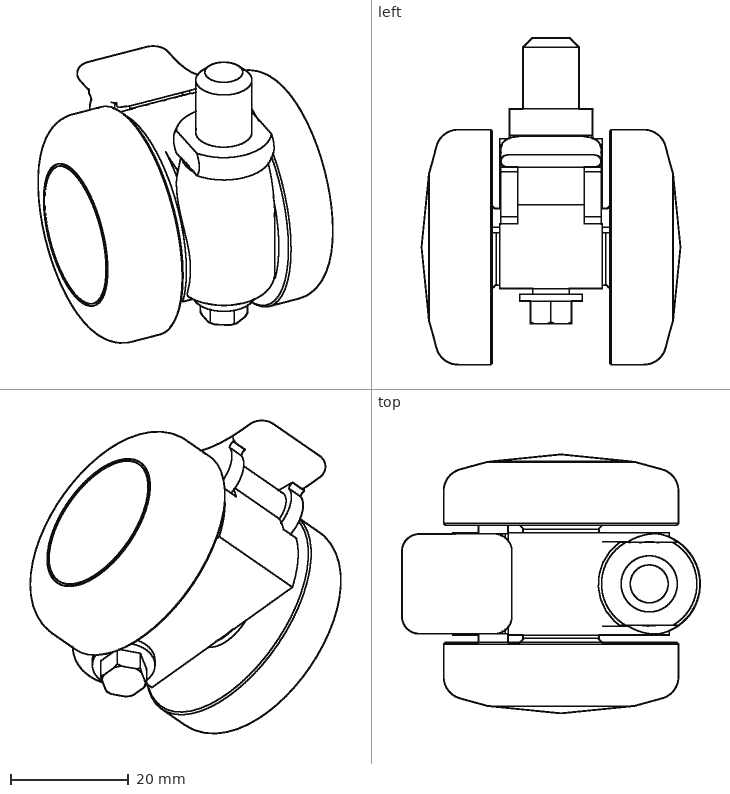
import cadquery as cq
import math


WHEEL_RADIUS = 20.0
WHEEL_INNER_Y = 9.95
WHEEL_RIM_Y = 15.75
WHEEL_SHOULDER_Y = 19.5
WHEEL_SHOULDER_RADIUS = 17.1
CAP_RADIUS = 12.45
CAP_EDGE_Y = 20.75
OVERALL_WIDTH = 44.0
CAP_APEX_Y = OVERALL_WIDTH / 2
CAP_GROOVE_WIDTH = 0.4
CAP_GROOVE_DEPTH = 0.1
RIM_CHAMFER = 0.35
WHEEL_HUB_RADIUS = 7.0
WHEEL_HUB_TIP_RADIUS = 6.3
HUB_JOINT_Y = 9.25

BODY_RADIUS = 18.4
BODY_HALF_WIDTH = 8.7
BODY_BOTTOM_Z = -7.05
BOSS_RADIUS = 6.5
BARREL_X = 15.0
BARREL_RADIUS = 8.65
BARREL_TOP_RADIUS = 7.15
BARREL_BOTTOM_Z = -6.7
BARREL_TAPER_Z = 6.1
BARREL_TOP_Z = 18.65
BARREL_BOTTOM_FILLET = 1.9
COLLAR_FILLET = 2.8
COLLAR_HALF_WIDTH = 7.15
COLLAR_END_X = 11.65

PIVOT_X = -14.65
PIVOT_Z = 10.4
LEG_RADIUS = 5.2
LEG_INNER_Y = 5.65
LEVER_HALF_WIDTH = 8.5
LEVER_HUB_RADIUS = 3.95
LEG_FRONT_X = -19.25
LEG_REAR_X = -10.0
LEG_FRONT_FILLET = 0.9
SLOT_FLOOR_Z = 3.95
PLATE_FRONT_X = -27.05
PLATE_REAR_X = -8.3
PLATE_TOP_Z = 15.65
PLATE_THICKNESS = 2.05
PLATE_BEND_X = -22.2
PLATE_BEND_RADIUS = 26.65
PLATE_CORNER_RADIUS = 3.0
PLATE_TOP_FILLET = 1.05
PLATE_BOTTOM_FILLET = 0.9
SHOE_FRONT_X = -14.05
SHOE_REAR_X = -9.0
SHOE_FRONT_BOTTOM_Z = 3.4
SHOE_REAR_BOTTOM_Z = 2.45
SHOE_TOP_Z = 6.6

STEM_RADIUS = 4.8
STEM_TOP_Z = 35.5
STEM_CHAMFER = 1.55
COLLAR_NUT_TOP_Z = 23.5
COLLAR_NUT_BOTTOM_Z = 19.0
COLLAR_NUT_RADIUS = 8.65
COLLAR_NUT_END_RADIUS = 8.1
COLLAR_NUT_HALF_FLATS = 7.05
NECK_RADIUS = 6.95
BOLT_RADIUS = 3.1
WASHER_RADIUS = 5.35
WASHER_TOP_Z = -8.0
WASHER_BOTTOM_Z = -9.15
HEX_BOTTOM_Z = -13.05
HEX_ACROSS_FLATS = 7.0
HEX_CHAMFER = 0.35


def cylinder_y(x, z, radius, y_start, y_end):
    """Cylinder along Y between two Y positions."""
    return (
        cq.Workplane("XZ", origin=(0, y_start, 0))
        .center(x, z)
        .circle(radius)
        .extrude(y_start - y_end)
    )


def cylinder_z(radius, z_bottom, z_top):
    """Cylinder on the swivel axis between two heights."""
    return (
        cq.Workplane("XY", origin=(BARREL_X, 0, z_bottom))
        .circle(radius)
        .extrude(z_top - z_bottom)
    )


def block(x_range, y_range, z_range):
    """Rectangular block given by its limits along each axis."""
    (x0, x1), (y0, y1), (z0, z1) = x_range, y_range, z_range
    return cq.Workplane("XY").box(x1 - x0, y1 - y0, z1 - z0, centered=False).translate((x0, y0, z0))


def make_wheel(side):
    """Wheel turned about the Y axis, with a conical cap inside a thin groove; side 1 is +Y, -1 is -Y."""
    groove_inner_radius = CAP_RADIUS - CAP_GROOVE_WIDTH
    cap_slope = (CAP_APEX_Y - CAP_EDGE_Y) / CAP_RADIUS
    groove_inner_y = CAP_EDGE_Y + cap_slope * CAP_GROOVE_WIDTH
    groove_floor_y = CAP_EDGE_Y - CAP_GROOVE_DEPTH
    profile = (
        cq.Workplane("XY")
        .moveTo(0, HUB_JOINT_Y)
        .lineTo(WHEEL_HUB_TIP_RADIUS, HUB_JOINT_Y)
        .lineTo(WHEEL_HUB_RADIUS, WHEEL_INNER_Y)
        .lineTo(WHEEL_RADIUS - RIM_CHAMFER, WHEEL_INNER_Y)
        .lineTo(WHEEL_RADIUS, WHEEL_INNER_Y + RIM_CHAMFER)
        .lineTo(WHEEL_RADIUS, WHEEL_RIM_Y)
        .tangentArcPoint((WHEEL_SHOULDER_RADIUS, WHEEL_SHOULDER_Y), relative=False)
        .lineTo(CAP_RADIUS, CAP_EDGE_Y)
        .lineTo(CAP_RADIUS, groove_floor_y)
        .lineTo(groove_inner_radius, groove_floor_y)
        .lineTo(groove_inner_radius, groove_inner_y)
        .lineTo(0, CAP_APEX_Y)
        .close()
    )
    wheel = profile.revolve(360, (0, 0, 0), (0, 1, 0))
    return wheel if side > 0 else wheel.mirror("XZ")


def plate_line(depth):
    """Points of the bent plate line a given depth below the upper face.

    Returns the front end, bend start, bend middle and rear end.
    """
    bend_radius = PLATE_BEND_RADIUS + depth
    bend_center_z = PLATE_TOP_Z + PLATE_BEND_RADIUS
    bend_angle = math.asin((PLATE_REAR_X - PLATE_BEND_X) / bend_radius)
    bend_points = [
        (
            PLATE_BEND_X + bend_radius * math.sin(angle),
            bend_center_z - bend_radius * math.cos(angle),
        )
        for angle in (0, bend_angle / 2, bend_angle)
    ]
    return [(PLATE_FRONT_X, PLATE_TOP_Z - depth), *bend_points]


def make_plate():
    """Bent foot plate with rounded corners and edges."""
    top_front, *top_bend = plate_line(0)
    bottom_front, *bottom_bend = plate_line(PLATE_THICKNESS)
    strip = (
        cq.Workplane("XZ")
        .moveTo(*top_front)
        .lineTo(*top_bend[0])
        .threePointArc(*top_bend[1:])
        .lineTo(*bottom_bend[2])
        .threePointArc(*bottom_bend[1::-1])
        .lineTo(*bottom_front)
        .close()
        .extrude(LEVER_HALF_WIDTH, both=True)
    )
    plate = strip.edges("(<X or >X) and |Z").edges("|Z").fillet(PLATE_CORNER_RADIUS)
    plate = plate.faces("<X").edges(">Z").fillet(PLATE_TOP_FILLET)
    return plate.faces("<X").edges("<Z").fillet(PLATE_BOTTOM_FILLET)


def make_shoe(side):
    """Brake shoe between a lever leg and the inner face of its wheel, with a sloping underside."""
    return (
        cq.Workplane("XZ", origin=(0, side * LEVER_HALF_WIDTH, 0))
        .moveTo(SHOE_FRONT_X, SHOE_FRONT_BOTTOM_Z)
        .lineTo(SHOE_FRONT_X, SHOE_TOP_Z)
        .lineTo(SHOE_REAR_X, SHOE_TOP_Z)
        .lineTo(SHOE_REAR_X, SHOE_REAR_BOTTOM_Z)
        .close()
        .extrude(side * (LEVER_HALF_WIDTH - WHEEL_INNER_Y))
    )


def make_lever():
    """Brake lever: plate, two round legs, a hub between them and a brake shoe on each side."""
    under_front, *under_bend = plate_line(PLATE_TOP_FILLET)
    below_plate = (
        cq.Workplane("XZ")
        .moveTo(*under_front)
        .lineTo(*under_bend[0])
        .threePointArc(*under_bend[1:])
        .lineTo(PLATE_REAR_X, 0)
        .lineTo(PLATE_FRONT_X, 0)
        .close()
        .extrude(LEVER_HALF_WIDTH, both=True)
    )
    hub = cylinder_y(PIVOT_X, PIVOT_Z, LEVER_HUB_RADIUS, -LEG_INNER_Y, LEG_INNER_Y)
    lever = make_plate().union(hub.intersect(below_plate))
    for side in (-1, 1):
        y_range = sorted((side * LEG_INNER_Y, side * LEVER_HALF_WIDTH))
        disc = cylinder_y(PIVOT_X, PIVOT_Z, LEG_RADIUS, *y_range)
        column = block((LEG_FRONT_X, LEG_REAR_X), y_range, (PIVOT_Z, STEM_TOP_Z))
        fillet_center_x = LEG_FRONT_X - LEG_FRONT_FILLET
        fillet_center_z = PLATE_TOP_Z - PLATE_THICKNESS - LEG_FRONT_FILLET
        web = block((fillet_center_x, LEG_FRONT_X), y_range, (fillet_center_z, PLATE_TOP_Z)).cut(
            cylinder_y(fillet_center_x, fillet_center_z, LEG_FRONT_FILLET, *y_range)
        )
        leg = disc.union(column).union(web).intersect(below_plate)
        lever = lever.union(leg).union(make_shoe(side))
    return lever


def make_barrel():
    """Upright barrel around the swivel axis, narrowing towards its top."""
    taper_middle_z = (BARREL_TAPER_Z + BARREL_TOP_Z) / 2
    taper_middle_radius = BARREL_RADIUS - (BARREL_RADIUS - BARREL_TOP_RADIUS) / 4
    barrel = (
        cq.Workplane("XZ", origin=(BARREL_X, 0, 0))
        .moveTo(0, BARREL_BOTTOM_Z)
        .lineTo(BARREL_RADIUS, BARREL_BOTTOM_Z)
        .lineTo(BARREL_RADIUS, BARREL_TAPER_Z)
        .threePointArc(
            (taper_middle_radius, taper_middle_z),
            (BARREL_TOP_RADIUS, BARREL_TOP_Z),
        )
        .lineTo(0, BARREL_TOP_Z)
        .close()
        .revolve(360, (0, 0, 0), (0, 1, 0))
    )
    return barrel.faces("<Z").edges().fillet(BARREL_BOTTOM_FILLET)


def make_collar():
    """Concave blend from the round body up to the barrel, cut level with the barrel top."""
    drum = cylinder_y(0, 0, BODY_RADIUS, -BODY_RADIUS, BODY_RADIUS)
    column_top_z = 2 * BARREL_TOP_Z
    column = cylinder_z(BARREL_TOP_RADIUS, 0, column_top_z)
    front = block((0, BARREL_X), (-BODY_RADIUS, BODY_RADIUS), (0, column_top_z))
    blended = drum.union(column).intersect(front)
    joint_x = BARREL_X - BARREL_TOP_RADIUS
    joint_z = math.sqrt(BODY_RADIUS**2 - joint_x**2)
    joint = cq.selectors.NearestToPointSelector((joint_x, 0, joint_z))
    blended = blended.edges(joint).fillet(COLLAR_FILLET)
    limits = block((0, COLLAR_END_X), (-COLLAR_HALF_WIDTH, COLLAR_HALF_WIDTH), (0, BARREL_TOP_Z))
    return blended.intersect(limits)


def make_housing(lever, stem):
    """Housing with axle bosses, slots for the lever legs and recesses that fit lever and stem."""
    body = cylinder_y(0, 0, BODY_RADIUS, -BODY_HALF_WIDTH, BODY_HALF_WIDTH)
    above_bottom = block(
        (-BODY_RADIUS, BODY_RADIUS),
        (-BODY_HALF_WIDTH, BODY_HALF_WIDTH),
        (BODY_BOTTOM_Z, BODY_RADIUS),
    )
    body = body.intersect(above_bottom)
    barrel = make_barrel()
    collar = make_collar().cut(body).cut(barrel)
    housing = body.union(collar).union(barrel)
    housing = housing.union(cylinder_y(0, 0, BOSS_RADIUS, -HUB_JOINT_Y, HUB_JOINT_Y))
    for side in (-1, 1):
        y_range = sorted((side * LEG_INNER_Y, side * BODY_HALF_WIDTH))
        housing = housing.cut(
            block((-BODY_RADIUS, SHOE_REAR_X), y_range, (SLOT_FLOOR_Z, BODY_RADIUS))
        )
    return housing.cut(lever).cut(stem)


def make_stem():
    """Stem with a two-flat collar nut on top and a bolt with washer and hexagon head below."""
    nut_middle_z = (COLLAR_NUT_TOP_Z + COLLAR_NUT_BOTTOM_Z) / 2
    nut = (
        cq.Workplane("XZ", origin=(BARREL_X, 0, 0))
        .moveTo(0, COLLAR_NUT_BOTTOM_Z)
        .lineTo(COLLAR_NUT_END_RADIUS, COLLAR_NUT_BOTTOM_Z)
        .threePointArc(
            (COLLAR_NUT_RADIUS, nut_middle_z),
            (COLLAR_NUT_END_RADIUS, COLLAR_NUT_TOP_Z),
        )
        .lineTo(0, COLLAR_NUT_TOP_Z)
        .close()
        .revolve(360, (0, 0, 0), (0, 1, 0))
    )
    flats = block(
        (BARREL_X - COLLAR_NUT_RADIUS, BARREL_X + COLLAR_NUT_RADIUS),
        (-COLLAR_NUT_HALF_FLATS, COLLAR_NUT_HALF_FLATS),
        (COLLAR_NUT_BOTTOM_Z, COLLAR_NUT_TOP_Z),
    )
    shank = cylinder_z(STEM_RADIUS, COLLAR_NUT_TOP_Z, STEM_TOP_Z).faces(">Z").chamfer(STEM_CHAMFER)
    neck = cylinder_z(NECK_RADIUS, BARREL_TOP_Z, COLLAR_NUT_BOTTOM_Z)
    bolt = cylinder_z(BOLT_RADIUS, WASHER_TOP_Z, BARREL_TOP_Z)
    washer = cylinder_z(WASHER_RADIUS, WASHER_BOTTOM_Z, WASHER_TOP_Z)
    hex_diameter = HEX_ACROSS_FLATS / math.cos(math.pi / 6)
    hex_head = (
        cq.Workplane("XY", origin=(BARREL_X, 0, HEX_BOTTOM_Z))
        .polygon(6, hex_diameter)
        .extrude(WASHER_BOTTOM_Z - HEX_BOTTOM_Z)
    )
    hex_limit = cylinder_z(hex_diameter / 2, HEX_BOTTOM_Z, WASHER_BOTTOM_Z)
    hex_head = hex_head.intersect(hex_limit.faces("<Z").chamfer(HEX_CHAMFER))
    stem = nut.intersect(flats)
    for piece in (shank, neck, bolt, washer, hex_head):
        stem = stem.union(piece)
    return stem


stem = make_stem()
lever = make_lever()
housing = make_housing(lever, stem)
wheels = [make_wheel(side) for side in (-1, 1)]

result = cq.Compound.makeCompound(
    [housing.val(), lever.val(), stem.val(), *[wheel.val() for wheel in wheels]]
)